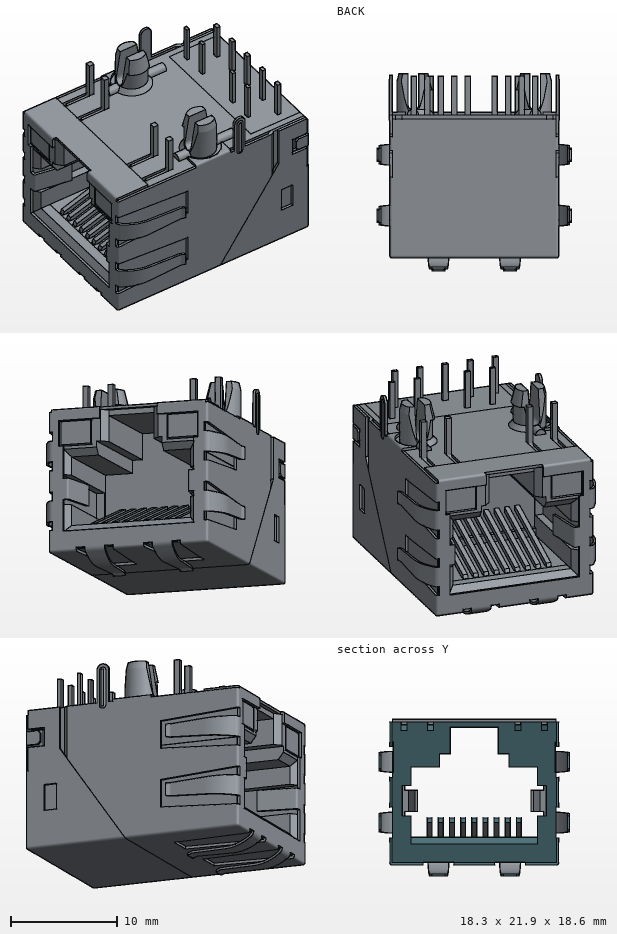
import cadquery as cq
import math


OVERALL_WIDTH = 18.32
OVERALL_HEIGHT = 18.56

HALF_WIDTH = 7.95
LENGTH = 21.85
WALL_TOP = 13.48
SHEET = 0.26
FOLD_RADIUS = 0.25
PIN_TOP = 17.12
INNER_HALF_WIDTH = HALF_WIDTH - SHEET
LAP_HALF_WIDTH = INNER_HALF_WIDTH - SHEET
BACK_INNER = LENGTH - SHEET

SEAM_BOTTOM_Y = 11.6
SEAM_KNEE_Y = 18.37
SEAM_KNEE_Z = 9.48
JOG_START_Y, JOG_END_Y = 17.6, 17.95
LAP_BOTTOM_Z = 8.3

TOP_PLATE_LENGTH = 3.65
NOTCH_FOLD_DEPTH = 0.41
BACK_PLATE_TOP = 13.08
CORNER_FOLD_TOP = 7.62
CLIP_BOTTOM, CLIP_TOP = 10.11, 11.42
CLIP_FRONT_Y = 20.38
CLIP_GAP = 0.25
CLIP_GAP_FRONT = 0.45
LAP_WINDOW_FRONT_Y, LAP_WINDOW_MARGIN = 20.14, 0.15
FLAP_WINDOW_Y, FLAP_WINDOW_LENGTH = 19.3, 1.29
FLAP_WINDOW_Z, FLAP_WINDOW_HEIGHT = 4.85, 2.51
FLAP_WINDOW_RADIUS = 0.13
TAB_INNER_X = 6.45
LOOP_Y, LOOP_WIDTH, LOOP_TOP = 13.93, 1.2, 17.2
RIB_WIDTH, RIB_BOTTOM, RIB_TOP, RIB_HEIGHT = 0.65, 12.89, 16.88, 0.09
RIB_TAPER = 65.0

SPRING_REACH = 1.03
SPRING_TIP_REACH = OVERALL_WIDTH / 2 - HALF_WIDTH
SPRING_THICKNESS = 0.22
SPRING_ARC_RADIUS = 4.52
SPRING_ARC_END_Y = 3.0
SPRING_FOLD_Y = 0.37
SPRING_BEND_Y, SPRING_BEND_END_Y = 6.46, 6.66
SPRING_BEND_RISE = 0.055
SPRING_TIP_Y, SPRING_TIP_OUTER_Y = 7.05, 6.95
SPRING_ROOT_HALF, SPRING_TIP_HALF = 1.0, 0.61
SPRING_TIP_CHAMFER = 0.15
SPRING_WINDOW_LENGTH = 8.0
SPRING_WINDOW_FRONT_HALF, SPRING_WINDOW_BACK_HALF = 1.85, 1.33
SPRING_INSET = 0.37
SIDE_SPRING_Z = (4.0, 9.72)
BOTTOM_SPRING_X = 3.36

FINGER_BOTTOM, FINGER_TOP = 5.05, 7.05
FINGER_FRONT_HALF, FINGER_BACK_HALF, FINGER_END_Y = 6.18, 5.33, 3.89
FINGER_FOLD = 0.25

MOUTH_HALF, MOUTH_BOTTOM, MOUTH_TOP = 6.53, 2.0, 9.9
CAVITY_HALF, CAVITY_BOTTOM, CAVITY_TOP = 5.95, 2.65, 9.22
MOUTH_END_Y = 0.79
CAVITY_BACK_Y = 10.26
SHOULDER_HALF, SHOULDER_TOP = 3.25, 10.46
NOTCH_HALF, NOTCH_MOUTH_HALF, NOTCH_TOP, NOTCH_MOUTH_END_Y = 2.25, 2.88, 12.95, 0.87
SLOT_HALF, SLOT_BOTTOM, SLOT_TOP, SLOT_BACK = 6.75, 4.63, 7.47, 10.05
HOUSING_STEP_Y = 10.88
RELIEF_BOTTOM, RELIEF_TOP, RELIEF_BACK, RELIEF_DEPTH = 8.74, 11.58, 8.74, 0.07

PEG_X, PEG_Y = 5.72, 10.95
PEG_TOP = OVERALL_HEIGHT - SPRING_TIP_REACH
PEG_RADIUS, PEG_TIP_RADIUS, PEG_BARB_RADIUS = 1.55, 1.38, 1.75
PEG_TAPER_Z, PEG_BARB_Z = 16.62, 15.81
PEG_TIP_HALF_DEPTH = 0.95
FLARE_RADIUS, FLARE_TOP = 1.99, 13.95
PEG_SLOT_WIDTH, PEG_SLOT_BOTTOM = 1.0, 13.93
ROD_X, ROD_RADIUS, ROD_FRONT, ROD_BACK = 5.77, 0.52, 8.15, 14.61

LAMP_X, LAMP_HALF, LAMP_BOTTOM, LAMP_TOP, LAMP_BACK = 5.35, 1.49, 10.33, 12.54, 4.24
LAMP_POCKET_HALF, LAMP_POCKET_BOTTOM, LAMP_POCKET_TOP = 1.6, 10.18, 12.62
LEAD_OFFSET, LEAD_WIDTH, LEAD_TOP = 1.25, 0.52, 13.21
LEAD_PIN_BACK = 7.08
LEAD_STEP, LEAD_BEND_RADIUS = 0.13, 0.25

CARRIER_FRONT, CARRIER_BACK = 1.8, 11.35
CARRIER_SILL_Y, CARRIER_SILL_TOP = 9.83, 3.39
CONTACT_COUNT, CONTACT_PITCH, CONTACT_WIDTH = 9, 1.05, 0.48
CONTACT_TIP_Y, CONTACT_BEND_Y, CONTACT_BEND_Z = 1.92, 2.1, 3.0
CONTACT_ENTRY_Z = 5.8
CONTACT_HEIGHT = 0.48

MODULE_HALF, MODULE_FRONT, MODULE_BOTTOM = 6.8, 15.97, 3.5
PIN_PITCH, PIN_WIDTH = 2.53, 0.52
BACK_PIN_X, BACK_PIN_Y, BACK_PIN_DEPTH = -4.45, 19.79, 0.37
FRONT_PIN_X, FRONT_PIN_Y, FRONT_PIN_DEPTH = -5.72, 17.23, 0.3


def block(x0, x1, y0, y1, z0, z1):
    return cq.Workplane("XY").box(x1 - x0, y1 - y0, z1 - z0, centered=False).translate((x0, y0, z0))


def centred_block(half_x, y0, y1, z0, z1):
    return block(-half_x, half_x, y0, y1, z0, z1)


def prism_along_x(points, x0, x1):
    """Extrudes a (Y, Z) outline from x0 to x1."""
    return cq.Workplane("YZ").polyline(points).close().extrude(x1 - x0).translate((x0, 0, 0))


def prism_along_z(points, z0, z1):
    """Extrudes an (X, Y) outline from z0 to z1."""
    return cq.Workplane("XY").polyline(points).close().extrude(z1 - z0).translate((0, 0, z0))


def both_sides(shape):
    """A +X feature together with its mirror image."""
    return shape.union(shape.mirror("YZ"))


def taper(front_half, back_half, length):
    """Symmetric tapered strip along Y, used to trim springs and to cut their windows."""
    outline = [(-SHEET, -front_half), (length, -back_half), (length, back_half), (-SHEET, front_half)]
    return prism_along_x(outline, -SPRING_INSET, 2 * SPRING_TIP_REACH)


def spring():
    centre = SPRING_REACH - SPRING_ARC_RADIUS
    inner_radius = SPRING_ARC_RADIUS - SPRING_THICKNESS
    root_angle = math.asin((SPRING_ARC_END_Y - SPRING_FOLD_Y) / SPRING_ARC_RADIUS)

    def on_arc(radius, angle):
        return (centre + radius * math.cos(angle), SPRING_ARC_END_Y - radius * math.sin(angle))

    inner_reach = SPRING_REACH - SPRING_THICKNESS
    strip = (
        cq.Workplane("XY")
        .moveTo(-SPRING_INSET - SHEET, 0)
        .lineTo(-SPRING_INSET, 0)
        .tangentArcPoint(on_arc(SPRING_ARC_RADIUS, root_angle), relative=False)
        .threePointArc(on_arc(SPRING_ARC_RADIUS, root_angle / 2), (SPRING_REACH, SPRING_ARC_END_Y))
        .lineTo(SPRING_REACH, SPRING_BEND_Y)
        .tangentArcPoint((SPRING_REACH + SPRING_BEND_RISE, SPRING_BEND_END_Y), relative=False)
        .lineTo(SPRING_TIP_REACH, SPRING_TIP_OUTER_Y)
        .lineTo(SPRING_REACH, SPRING_TIP_Y)
        .lineTo(inner_reach + SPRING_BEND_RISE, SPRING_BEND_END_Y)
        .lineTo(inner_reach, SPRING_BEND_Y)
        .lineTo(inner_reach, SPRING_ARC_END_Y)
        .threePointArc(on_arc(inner_radius, root_angle / 2), on_arc(inner_radius, root_angle))
        .lineTo(-SHEET, SHEET)
        .lineTo(-SPRING_INSET - SHEET, SHEET)
        .close()
        .extrude(SPRING_ROOT_HALF + SHEET, both=True)
    )
    trim = taper(SPRING_ROOT_HALF, SPRING_TIP_HALF, SPRING_TIP_Y)
    return strip.intersect(trim.edges("|X and >Y").chamfer(SPRING_TIP_CHAMFER))


def at_spring_places(shape):
    """Copies of a local shape at the two side rows and along the bottom."""
    right = [shape.translate((HALF_WIDTH, 0, z)) for z in SIDE_SPRING_Z]
    bottom = shape.rotate((0, 0, 0), (0, 1, 0), 90).translate((BOTTOM_SPRING_X, 0, 0))
    copies = right + [bottom]
    return copies + [copy.mirror("YZ") for copy in copies]


def shield_box():
    """Folded box with open top, before it is divided at the seam."""
    outer = centred_block(HALF_WIDTH, 0, LENGTH, 0, WALL_TOP)
    outer = outer.edges("|Z or <Z").fillet(FOLD_RADIUS)
    return outer.cut(centred_block(INNER_HALF_WIDTH, SHEET, BACK_INNER, SHEET, WALL_TOP))


def rear_region():
    """Everything behind the slanted seam."""
    outline = [
        (SEAM_BOTTOM_Y, 0),
        (SEAM_KNEE_Y, SEAM_KNEE_Z),
        (SEAM_KNEE_Y, WALL_TOP),
        (LENGTH, WALL_TOP),
        (LENGTH, 0),
    ]
    return prism_along_x(outline, -HALF_WIDTH, HALF_WIDTH)


def side_lap():
    """Inward step of the +X wall and the windowed lap that runs on under the rear shield."""
    outline = [
        (HALF_WIDTH, JOG_START_Y),
        (INNER_HALF_WIDTH, JOG_END_Y),
        (INNER_HALF_WIDTH, BACK_INNER),
        (LAP_HALF_WIDTH, BACK_INNER),
        (LAP_HALF_WIDTH, JOG_END_Y - SHEET),
        (INNER_HALF_WIDTH, JOG_START_Y - SHEET),
    ]
    window = block(
        LAP_HALF_WIDTH,
        INNER_HALF_WIDTH,
        LAP_WINDOW_FRONT_Y,
        BACK_INNER - SHEET,
        CLIP_BOTTOM - LAP_WINDOW_MARGIN,
        CLIP_TOP + LAP_WINDOW_MARGIN,
    )
    return prism_along_z(outline, LAP_BOTTOM_Z, WALL_TOP).cut(window)


def top_plate():
    plate = centred_block(INNER_HALF_WIDTH, 0, TOP_PLATE_LENGTH, WALL_TOP, WALL_TOP + SHEET)
    return plate.edges("<Y and >Z").fillet(FOLD_RADIUS)


def peg_tab():
    """Tab folded over the housing top, cut round to clear the +X peg."""
    front, back = PEG_Y - FLARE_RADIUS, PEG_Y + FLARE_RADIUS
    tab = block(TAB_INNER_X, HALF_WIDTH, front, back, WALL_TOP, WALL_TOP + SHEET)
    tab = tab.edges(">X and >Z").fillet(FOLD_RADIUS)
    clearance = cq.Workplane("XY").center(PEG_X, PEG_Y).circle(FLARE_RADIUS).extrude(PEG_TOP)
    return tab.cut(clearance)


def board_loop():
    """Round-ended solder leg of the +X wall with an embossed rib."""
    straight = LOOP_TOP - LOOP_WIDTH / 2
    front, back = LOOP_Y - LOOP_WIDTH / 2, LOOP_Y + LOOP_WIDTH / 2
    leg = block(INNER_HALF_WIDTH, HALF_WIDTH, front, back, WALL_TOP, straight)
    end = cq.Workplane("YZ").center(LOOP_Y, straight).circle(LOOP_WIDTH / 2).extrude(SHEET)
    rib = (
        cq.Workplane("YZ")
        .center(LOOP_Y, (RIB_BOTTOM + RIB_TOP) / 2)
        .slot2D(RIB_TOP - RIB_BOTTOM, RIB_WIDTH, 90)
        .extrude(RIB_HEIGHT, taper=RIB_TAPER)
    )
    leg = leg.union(end.translate((INNER_HALF_WIDTH, 0, 0)))
    return leg.union(rib.translate((HALF_WIDTH, 0, 0)))


def face_opening():
    """Openings of the front plate for plug and lamps, with the notch through the top fold."""
    lamp_edge = LAMP_X + LAMP_POCKET_HALF
    plug = centred_block(MOUTH_HALF, 0, SHEET, MOUTH_BOTTOM, LAMP_POCKET_BOTTOM)
    finger_root = block(FINGER_FRONT_HALF, MOUTH_HALF, 0, SHEET, FINGER_BOTTOM, FINGER_TOP)
    lamps = centred_block(lamp_edge, 0, SHEET, LAMP_POCKET_BOTTOM, LAMP_POCKET_TOP)
    notch = centred_block(NOTCH_MOUTH_HALF, 0, SHEET, LAMP_POCKET_TOP, WALL_TOP)
    fold = centred_block(NOTCH_MOUTH_HALF, 0, NOTCH_FOLD_DEPTH, WALL_TOP, WALL_TOP + SHEET)
    return plug.cut(both_sides(finger_root)).union(lamps).union(notch).union(fold)


def finger():
    """Strip bent from the front plate into the cavity, slanting towards the plug on the +X side."""
    bend_half = FINGER_FRONT_HALF - FINGER_FOLD
    strip = (
        cq.Workplane("XY")
        .moveTo(MOUTH_HALF, 0)
        .lineTo(FINGER_FRONT_HALF, 0)
        .tangentArcPoint((bend_half, FINGER_FOLD), relative=False)
        .lineTo(FINGER_BACK_HALF, FINGER_END_Y)
        .lineTo(FINGER_BACK_HALF + SHEET, FINGER_END_Y)
        .lineTo(bend_half + SHEET, SHEET)
        .lineTo(MOUTH_HALF, SHEET)
        .close()
        .extrude(FINGER_TOP - FINGER_BOTTOM)
    )
    return strip.translate((0, 0, FINGER_BOTTOM))


def make_front_shield():
    shield = shield_box().cut(rear_region())
    jog_space = block(INNER_HALF_WIDTH, HALF_WIDTH, JOG_START_Y, SEAM_KNEE_Y, 0, WALL_TOP)
    shield = shield.cut(both_sides(jog_space))
    behind_seam = rear_region().cut(centred_block(INNER_HALF_WIDTH, SHEET, BACK_INNER, SHEET, WALL_TOP))
    shield = shield.union(both_sides(side_lap().cut(behind_seam)))
    shield = shield.union(top_plate()).union(both_sides(peg_tab())).union(both_sides(board_loop()))
    shield = shield.cut(face_opening()).union(both_sides(finger()))
    window = taper(SPRING_WINDOW_FRONT_HALF, SPRING_WINDOW_BACK_HALF, SPRING_WINDOW_LENGTH)
    for opening in at_spring_places(window):
        shield = shield.cut(opening)
    for leaf in at_spring_places(spring()):
        shield = shield.union(leaf)
    return shield


def clip(margin, front_margin):
    """Clip bent round the +X rear corner, grown by the given margins."""
    front = CLIP_FRONT_Y - front_margin
    return block(INNER_HALF_WIDTH, HALF_WIDTH, front, LENGTH, CLIP_BOTTOM - margin, CLIP_TOP + margin)


def make_rear_shield():
    shield = shield_box().intersect(rear_region())
    shield = shield.cut(centred_block(HALF_WIDTH, BACK_INNER, LENGTH, BACK_PLATE_TOP, WALL_TOP))
    corner = block(INNER_HALF_WIDTH, HALF_WIDTH, BACK_INNER, LENGTH, CORNER_FOLD_TOP, WALL_TOP)
    clip_shape = clip(0, 0).edges("|X and <Y").chamfer(CLIP_GAP)
    kept_clip = shield.intersect(both_sides(clip_shape))
    shield = shield.cut(both_sides(corner)).cut(both_sides(clip(CLIP_GAP, CLIP_GAP_FRONT))).union(kept_clip)
    window = (
        cq.Workplane("YZ")
        .center(FLAP_WINDOW_Y, FLAP_WINDOW_Z)
        .rect(FLAP_WINDOW_LENGTH, FLAP_WINDOW_HEIGHT)
        .extrude(HALF_WIDTH, both=True)
        .edges("|X and >Z")
        .fillet(FLAP_WINDOW_RADIUS)
    )
    return shield.cut(window.cut(centred_block(INNER_HALF_WIDTH, 0, LENGTH, 0, WALL_TOP)))


def cavity_section(y0, y1):
    """Plug cavity section with its keying notch, between two Y positions."""
    main = centred_block(CAVITY_HALF, y0, y1, CAVITY_BOTTOM, CAVITY_TOP)
    shoulder = centred_block(SHOULDER_HALF, y0, y1, CAVITY_TOP, SHOULDER_TOP)
    notch = centred_block(NOTCH_HALF, y0, y1, SHOULDER_TOP, NOTCH_TOP)
    return main.union(shoulder).union(notch)


def mouth():
    """Tapered lead-in of the plug cavity and of its keying notch."""
    side = [
        (SHEET, MOUTH_BOTTOM),
        (MOUTH_END_Y, CAVITY_BOTTOM),
        (MOUTH_END_Y, CAVITY_TOP),
        (SHEET, MOUTH_TOP),
    ]
    plan = [
        (-MOUTH_HALF, SHEET),
        (-CAVITY_HALF, MOUTH_END_Y),
        (CAVITY_HALF, MOUTH_END_Y),
        (MOUTH_HALF, SHEET),
    ]
    funnel = prism_along_x(side, -MOUTH_HALF, MOUTH_HALF).intersect(prism_along_z(plan, 0, WALL_TOP))
    notch_plan = [
        (-NOTCH_MOUTH_HALF, SHEET),
        (-NOTCH_HALF, NOTCH_MOUTH_END_Y),
        (NOTCH_HALF, NOTCH_MOUTH_END_Y),
        (NOTCH_MOUTH_HALF, SHEET),
    ]
    return funnel.union(prism_along_z(notch_plan, SHOULDER_TOP, WALL_TOP))


def peg_half(outline, inner):
    """Turns an (R, Z) outline round the +X peg axis and keeps the half towards or away from X = 0."""
    turned = cq.Workplane("XZ").polyline(outline).close().revolve(360, (0, 0, 0), (0, 1, 0))
    turned = turned.translate((PEG_X, PEG_Y, 0))
    reach = 2 * FLARE_RADIUS
    x0, x1 = (PEG_X - reach, PEG_X) if inner else (PEG_X, PEG_X + reach)
    return turned.intersect(block(x0, x1, PEG_Y - reach, PEG_Y + reach, 0, PEG_TOP))


def peg():
    """Split +X board peg with a barbed inner prong, on a rod that lies along Y."""
    inner_outline = [
        (0, WALL_TOP),
        (PEG_RADIUS, WALL_TOP),
        (PEG_RADIUS, PEG_BARB_Z),
        (PEG_BARB_RADIUS, PEG_BARB_Z),
        (PEG_TIP_RADIUS, PEG_TOP),
        (0, PEG_TOP),
    ]
    outer_outline = [
        (0, WALL_TOP),
        (PEG_RADIUS, WALL_TOP),
        (PEG_RADIUS, PEG_TAPER_Z),
        (PEG_TIP_RADIUS, PEG_TOP),
        (0, PEG_TOP),
    ]
    flare_outline = [(0, WALL_TOP), (FLARE_RADIUS, WALL_TOP), (PEG_RADIUS, FLARE_TOP), (0, FLARE_TOP)]
    wedge = [
        (PEG_Y - PEG_RADIUS, WALL_TOP),
        (PEG_Y - PEG_TIP_HALF_DEPTH, PEG_TOP),
        (PEG_Y + PEG_TIP_HALF_DEPTH, PEG_TOP),
        (PEG_Y + PEG_RADIUS, WALL_TOP),
    ]
    prongs = peg_half(inner_outline, True).union(peg_half(outer_outline, False))
    prongs = prongs.intersect(prism_along_x(wedge, 0, 2 * PEG_X))
    rod = cq.Workplane("XZ").center(ROD_X, WALL_TOP).circle(ROD_RADIUS).extrude(ROD_FRONT - ROD_BACK)
    rod = rod.translate((0, ROD_FRONT, 0))
    half_slot = PEG_SLOT_WIDTH / 2
    slot = block(
        PEG_X - half_slot,
        PEG_X + half_slot,
        PEG_Y - PEG_RADIUS,
        PEG_Y + PEG_RADIUS,
        PEG_SLOT_BOTTOM + half_slot,
        PEG_TOP,
    )
    slot_floor = cq.Workplane("XZ").center(PEG_X, PEG_SLOT_BOTTOM + half_slot).circle(half_slot)
    slot = slot.union(slot_floor.extrude(2 * PEG_RADIUS).translate((0, PEG_Y + PEG_RADIUS, 0)))
    return prongs.union(peg_half(flare_outline, True)).union(rod).cut(slot)


def lead_xs():
    return [LAMP_X - LEAD_OFFSET, LAMP_X + LEAD_OFFSET]


def lamp_pocket():
    """Pocket for the +X lamp and the grooves for its leads."""
    pocket = block(
        LAMP_X - LAMP_POCKET_HALF,
        LAMP_X + LAMP_POCKET_HALF,
        SHEET,
        LAMP_BACK,
        LAMP_POCKET_BOTTOM,
        LAMP_POCKET_TOP,
    )
    half = LEAD_WIDTH / 2
    for x in lead_xs():
        groove = block(x - half, x + half, TOP_PLATE_LENGTH, LEAD_PIN_BACK, LEAD_TOP - LEAD_WIDTH, WALL_TOP)
        riser = block(x - half, x + half, TOP_PLATE_LENGTH, LAMP_BACK, LAMP_TOP, WALL_TOP)
        pocket = pocket.union(groove).union(riser)
    return pocket


def make_housing():
    body = centred_block(INNER_HALF_WIDTH, SHEET, BACK_INNER, SHEET, WALL_TOP)
    side_gap = block(LAP_HALF_WIDTH, INNER_HALF_WIDTH, HOUSING_STEP_Y, BACK_INNER, SHEET, WALL_TOP)
    relief_x = INNER_HALF_WIDTH - RELIEF_DEPTH
    relief = block(relief_x, INNER_HALF_WIDTH, SHEET, RELIEF_BACK, RELIEF_BOTTOM, RELIEF_TOP)
    body = body.cut(both_sides(side_gap.union(relief)))
    body = body.cut(mouth()).cut(cavity_section(SHEET, CARRIER_BACK))
    body = body.cut(centred_block(SLOT_HALF, SHEET, SLOT_BACK, SLOT_BOTTOM, SLOT_TOP))
    body = body.cut(carrier_floor()).cut(module_block())
    body = body.cut(both_sides(lamp_pocket()))
    return body.union(both_sides(peg()))


def carrier_floor():
    return centred_block(CAVITY_HALF, CARRIER_FRONT, CARRIER_BACK, MOUTH_BOTTOM, CAVITY_BOTTOM)


def contact(x):
    """Sloping contact blade that rises from the floor into the back wall."""
    slope = (CONTACT_ENTRY_Z - CONTACT_BEND_Z) / (CAVITY_BACK_Y - CONTACT_BEND_Y)
    entry_bottom = CONTACT_ENTRY_Z - CONTACT_HEIGHT
    outline = [
        (CONTACT_TIP_Y, CAVITY_BOTTOM),
        (CONTACT_BEND_Y, CONTACT_BEND_Z),
        (CAVITY_BACK_Y, CONTACT_ENTRY_Z),
        (CAVITY_BACK_Y, entry_bottom),
        (CAVITY_BACK_Y - (entry_bottom - CAVITY_BOTTOM) / slope, CAVITY_BOTTOM),
    ]
    return prism_along_x(outline, x - CONTACT_WIDTH / 2, x + CONTACT_WIDTH / 2)


def make_contact_carrier():
    carrier = carrier_floor().union(cavity_section(CAVITY_BACK_Y, CARRIER_BACK))
    sill = centred_block(CAVITY_HALF, CARRIER_SILL_Y, CAVITY_BACK_Y, CAVITY_BOTTOM, CARRIER_SILL_TOP)
    carrier = carrier.union(sill)
    for i in range(CONTACT_COUNT):
        carrier = carrier.union(contact((i - (CONTACT_COUNT - 1) / 2) * CONTACT_PITCH))
    return carrier


def module_block():
    return centred_block(MODULE_HALF, MODULE_FRONT, BACK_INNER, MODULE_BOTTOM, WALL_TOP)


def make_pin_module():
    module = module_block()
    rows = [
        (BACK_PIN_X, BACK_PIN_Y, BACK_PIN_DEPTH, (0, 1, 2, 3, 4)),
        (FRONT_PIN_X, FRONT_PIN_Y, FRONT_PIN_DEPTH, (0, 1, 3, 4)),
    ]
    for first_x, y, depth, places in rows:
        for place in places:
            x = first_x + place * PIN_PITCH
            pin = block(x - PIN_WIDTH / 2, x + PIN_WIDTH / 2, y - depth / 2, y + depth / 2, WALL_TOP, PIN_TOP)
            module = module.union(pin)
    return module


def lead(x):
    """Lead that rises from the lamp, runs back in its groove and turns up into a pin."""
    pin_front = LEAD_PIN_BACK - LEAD_WIDTH
    bar_bottom = LEAD_TOP - LEAD_WIDTH
    outline = [
        (TOP_PLATE_LENGTH, LAMP_TOP),
        (TOP_PLATE_LENGTH, LEAD_TOP - LEAD_STEP),
        (LAMP_BACK, LEAD_TOP - LEAD_STEP),
        (LAMP_BACK, LEAD_TOP),
        (pin_front, LEAD_TOP),
        (pin_front, PIN_TOP),
        (LEAD_PIN_BACK, PIN_TOP),
        (LEAD_PIN_BACK, bar_bottom),
        (LAMP_BACK, bar_bottom),
        (LAMP_BACK, LAMP_TOP),
    ]
    bar = prism_along_x(outline, x - LEAD_WIDTH / 2, x + LEAD_WIDTH / 2)
    return bar.edges(cq.NearestToPointSelector((x, pin_front, LEAD_TOP))).fillet(LEAD_BEND_RADIUS)


def make_lamp(side):
    """Lamp with two leads, on the +X (side = 1) or -X (side = -1) half."""
    centre = side * LAMP_X
    lamp = block(centre - LAMP_HALF, centre + LAMP_HALF, SHEET, LAMP_BACK, LAMP_BOTTOM, LAMP_TOP)
    for x in lead_xs():
        lamp = lamp.union(lead(side * x))
    return lamp


front_shield = make_front_shield()
rear_shield = make_rear_shield()
housing = make_housing()
contact_carrier = make_contact_carrier()
pin_module = make_pin_module()
lamps = [make_lamp(side) for side in (-1, 1)]

result = cq.Compound.makeCompound(
    [
        front_shield.val(),
        rear_shield.val(),
        housing.val(),
        contact_carrier.val(),
        pin_module.val(),
        *[lamp.val() for lamp in lamps],
    ]
)